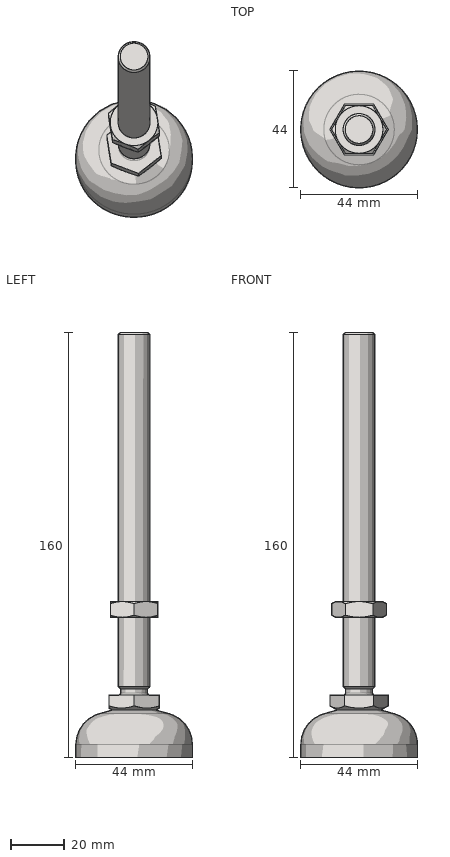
import cadquery as cq
import math

total_height = 160.0

foot_diameter = 44.0
foot_radius = foot_diameter / 2
foot_rim_height = 5.0
dome_radius = 12.0
dome_top_radius = 13.3
waist_radius = 8.3

hex_flats = 19.0
hex_bottom = 18.0
hex_top = 23.5

spindle_diameter = 12.0
spindle_radius = spindle_diameter / 2
spindle_bottom = 26.7
spindle_chamfer = 0.8
undercut_radius = 5.1
undercut_fillet = 0.8

nut_flats = 18.0
nut_bottom = 52.8
nut_height = 6.0

corner_angle = math.radians(30)


def hexagon(flats, bottom, height):
    """Hexagonal prism with two corners on the X axis."""
    corner_diameter = flats / math.cos(math.pi / 6)
    return cq.Workplane("XY").workplane(offset=bottom).polygon(6, corner_diameter).extrude(height)


def corner_envelope(flats, face_radius, bottom, height, chamfer_top):
    """Turned envelope that cuts back the hexagon corners below, and optionally above."""
    outer_radius = flats / 2 / math.cos(math.pi / 6)
    drop = (outer_radius - face_radius) * math.tan(corner_angle)
    top = bottom + height
    profile = cq.Workplane("XZ").moveTo(0, bottom).lineTo(face_radius, bottom)
    profile = profile.lineTo(outer_radius, bottom + drop)
    if chamfer_top:
        profile = profile.lineTo(outer_radius, top - drop).lineTo(face_radius, top)
    else:
        profile = profile.lineTo(outer_radius, top)
    return profile.lineTo(0, top).close().revolve(360, (0, 0), (0, 1))


def make_foot_pad():
    """Cylindrical rim, rounded dome and a cone tangent to the dome, ending at the waist."""
    centre_radius = foot_radius - dome_radius
    end_angle = math.acos((dome_top_radius - centre_radius) / dome_radius)
    dome_top = foot_rim_height + dome_radius * math.sin(end_angle)
    dome_middle = (
        centre_radius + dome_radius * math.cos(end_angle / 2),
        foot_rim_height + dome_radius * math.sin(end_angle / 2),
    )
    cone_top = dome_top + (dome_top_radius - waist_radius) / math.tan(end_angle)
    return (
        cq.Workplane("XZ")
        .lineTo(foot_radius, 0)
        .lineTo(foot_radius, foot_rim_height)
        .threePointArc(dome_middle, (dome_top_radius, dome_top))
        .lineTo(waist_radius, cone_top)
        .lineTo(waist_radius, hex_bottom)
        .lineTo(0, hex_bottom)
        .close()
        .revolve(360, (0, 0), (0, 1))
    )


def make_wrench_hex():
    """Hexagon with only its lower corners chamfered."""
    height = hex_top - hex_bottom
    envelope = corner_envelope(hex_flats, waist_radius, hex_bottom, height, False)
    return hexagon(hex_flats, hex_bottom, height).intersect(envelope)


def make_spindle():
    """Round rod with chamfered ends, standing on a filleted undercut."""
    fillet_side = undercut_fillet * (1 - math.cos(math.pi / 4))
    fillet_middle = (undercut_radius + fillet_side, hex_top + fillet_side)
    return (
        cq.Workplane("XZ")
        .moveTo(0, hex_top)
        .lineTo(undercut_radius + undercut_fillet, hex_top)
        .threePointArc(fillet_middle, (undercut_radius, hex_top + undercut_fillet))
        .lineTo(undercut_radius, spindle_bottom - (spindle_radius - undercut_radius))
        .lineTo(spindle_radius, spindle_bottom)
        .lineTo(spindle_radius, total_height - spindle_chamfer)
        .lineTo(spindle_radius - spindle_chamfer, total_height)
        .lineTo(0, total_height)
        .close()
        .revolve(360, (0, 0), (0, 1))
    )


def make_levelling_foot():
    return make_foot_pad().union(make_wrench_hex()).union(make_spindle())


def make_lock_nut():
    """Hexagon nut chamfered on both faces, its bore fitting the spindle."""
    envelope = corner_envelope(nut_flats, nut_flats / 2, nut_bottom, nut_height, True)
    bore = cq.Workplane("XY").workplane(offset=nut_bottom).circle(spindle_radius).extrude(nut_height)
    return hexagon(nut_flats, nut_bottom, nut_height).intersect(envelope).cut(bore)


levelling_foot = make_levelling_foot()
lock_nut = make_lock_nut()

result = cq.Compound.makeCompound([levelling_foot.val(), lock_nut.val()])